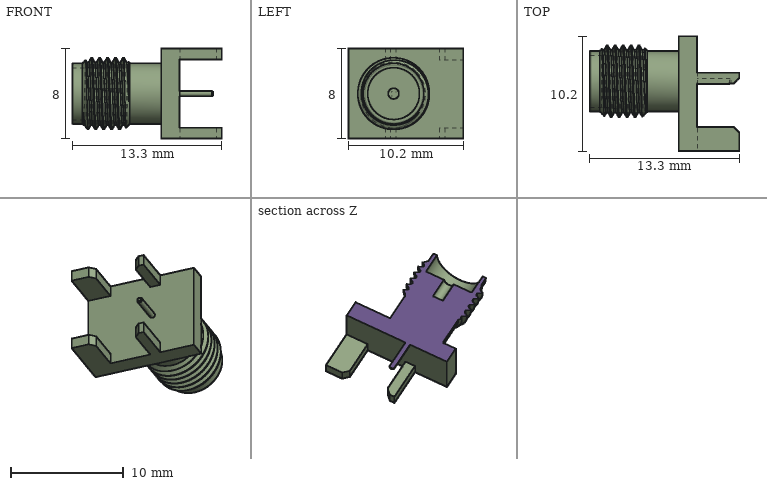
import cadquery as cq
import math


TOTAL_LENGTH = 13.3
FLANGE_WIDTH = 10.2
FLANGE_HEIGHT = 8.0

FLANGE_FRONT = 7.9
FLANGE_THICKNESS = 1.65
FLANGE_BACK = FLANGE_FRONT + FLANGE_THICKNESS
FLANGE_HIGH_Y = FLANGE_HEIGHT / 2
FLANGE_LOW_Y = FLANGE_HIGH_Y - FLANGE_WIDTH

LEG_THICKNESS = 1.0
LEG_CHAMFER = 0.5
NARROW_LEG_HIGH_Y = 0.76
NARROW_LEG_WIDTH = 0.97
WIDE_LEG_WIDTH = 2.15

PIN_RADIUS = 0.25
PIN_END = 12.52
PIN_CHAMFER = 0.1

BARREL_RADIUS = 2.7
MOUTH_FILLET = 0.12
BORE_RADIUS = 2.3
BORE_DEPTH = 2.0
SOCKET_RADIUS = 0.48
SOCKET_DEPTH = 2.0

THREAD_START = 0.93
THREAD_END = 5.13
THREAD_PITCH = 0.7
THREAD_RADIUS = 3.18
CREST_WIDTH = THREAD_PITCH / 8
ROOT_WIDTH = THREAD_PITCH / 4
FLANK_ANGLE = math.radians(30)
THREAD_DEPTH = (THREAD_PITCH - CREST_WIDTH - ROOT_WIDTH) / 2 / math.tan(FLANK_ANGLE)
ROOT_RADIUS = THREAD_RADIUS - THREAD_DEPTH
THREAD_CLEARANCE = 0.13
CREST_POSITION = 2.1
LEAD_IN_PITCHES = 3.5
GROOVE_OVERSHOOT = 0.04


def revolve_about_x(points):
    """Solid of revolution about X from (x, radius) points."""
    return cq.Workplane("XY").polyline(points).close().revolve(360, (0, 0, 0), (1, 0, 0))


def rod(radius, start, end):
    """Cylinder along the X axis between two X positions."""
    return cq.Workplane("YZ", origin=(start, 0, 0)).circle(radius).extrude(end - start)


def make_flange():
    corner = (FLANGE_FRONT, FLANGE_LOW_Y, -FLANGE_HEIGHT / 2)
    plate = cq.Workplane("XY").box(FLANGE_THICKNESS, FLANGE_WIDTH, FLANGE_HEIGHT, centered=False)
    return plate.translate(corner)


def make_leg(outer_y, inner_y, bottom_z):
    """Leg from the flange back, chamfered at the tip on its inner_y side."""
    toward_outer = math.copysign(LEG_CHAMFER, outer_y - inner_y)
    outline = [
        (FLANGE_BACK, outer_y),
        (TOTAL_LENGTH, outer_y),
        (TOTAL_LENGTH, inner_y + toward_outer),
        (TOTAL_LENGTH - LEG_CHAMFER, inner_y),
        (FLANGE_BACK, inner_y),
    ]
    return cq.Workplane("XY", origin=(0, 0, bottom_z)).polyline(outline).close().extrude(LEG_THICKNESS)


def make_thread():
    """Right-hand thread cut into a cylinder that is beveled at 45 degrees at both ends."""
    envelope_radius = THREAD_RADIUS + THREAD_CLEARANCE
    bevel = envelope_radius - BARREL_RADIUS
    envelope = revolve_about_x([
        (THREAD_START, 0),
        (THREAD_START, BARREL_RADIUS),
        (THREAD_START + bevel, envelope_radius),
        (THREAD_END - bevel, envelope_radius),
        (THREAD_END, BARREL_RADIUS),
        (THREAD_END, 0),
    ])

    groove_start = CREST_POSITION - LEAD_IN_PITCHES * THREAD_PITCH
    groove_length = THREAD_END + THREAD_PITCH - groove_start
    helix = cq.Wire.makeHelix(THREAD_PITCH, groove_length, ROOT_RADIUS)
    half_root = ROOT_WIDTH / 2
    half_mouth = half_root + (THREAD_DEPTH + GROOVE_OVERSHOOT) * math.tan(FLANK_ANGLE)
    mouth_radius = THREAD_RADIUS + GROOVE_OVERSHOOT
    groove = (
        cq.Workplane("XZ")
        .polyline([
            (ROOT_RADIUS, -half_root),
            (mouth_radius, -half_mouth),
            (mouth_radius, half_mouth),
            (ROOT_RADIUS, half_root),
        ])
        .close()
        .sweep(cq.Workplane(obj=helix), isFrenet=True)
        .rotate((0, 0, 0), (0, 1, 0), 90)
        .translate((groove_start, 0, 0))
    )

    blank = rod(THREAD_RADIUS, groove_start - THREAD_PITCH, groove_start + groove_length + THREAD_PITCH)
    return blank.cut(groove).intersect(envelope)


def make_barrel():
    return rod(BARREL_RADIUS, 0, FLANGE_FRONT).faces("<X").fillet(MOUTH_FILLET)


def make_solder_pin():
    return rod(PIN_RADIUS, FLANGE_BACK, PIN_END).faces(">X").chamfer(PIN_CHAMFER)


result = make_flange().union(make_barrel()).union(make_thread()).union(make_solder_pin())

for bottom_z in (-FLANGE_HEIGHT / 2, FLANGE_HEIGHT / 2 - LEG_THICKNESS):
    narrow_leg = make_leg(NARROW_LEG_HIGH_Y, NARROW_LEG_HIGH_Y - NARROW_LEG_WIDTH, bottom_z)
    wide_leg = make_leg(FLANGE_LOW_Y, FLANGE_LOW_Y + WIDE_LEG_WIDTH, bottom_z)
    result = result.union(narrow_leg).union(wide_leg)

bore = rod(BORE_RADIUS, 0, BORE_DEPTH)
socket = rod(SOCKET_RADIUS, BORE_DEPTH, BORE_DEPTH + SOCKET_DEPTH)
result = result.cut(bore).cut(socket)